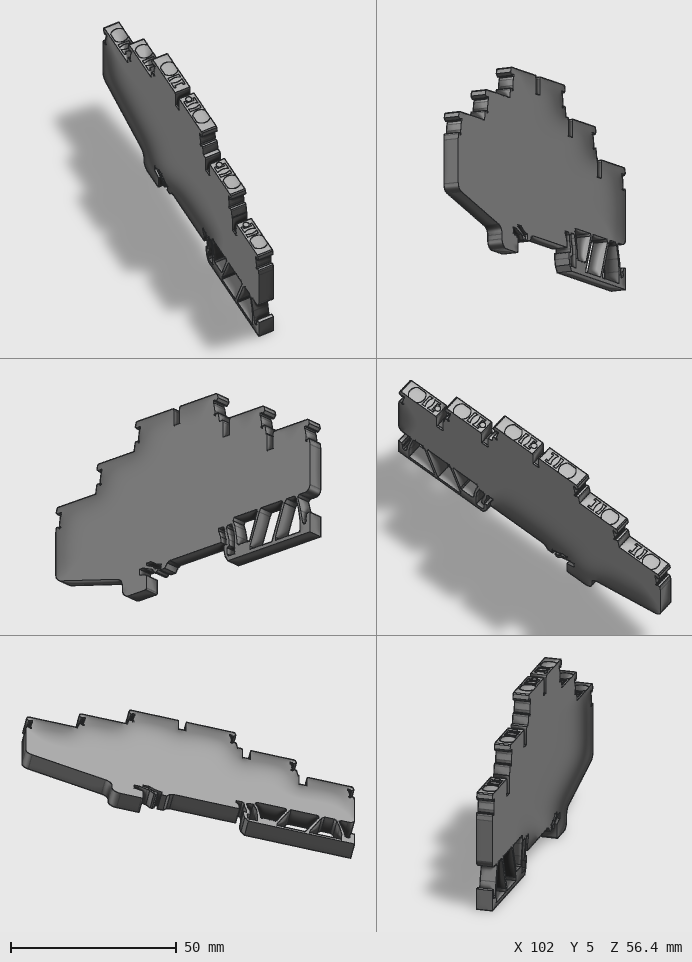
import cadquery as cq

LENGTH = 102
THICKNESS = 5.0
HEIGHT = 56.4

LOW_TIER_TOP = 37.3
TIER_STEP = (HEIGHT - LOW_TIER_TOP) / 2
TIER_TOPS = [LOW_TIER_TOP + tier * TIER_STEP for tier in range(3)]
LEFT_CORNERS = [0.5, 16.8, 32.2]
RIGHT_CORNERS = [101.5, 83.6, 64.9]

SNAP_EDGE = [
    (0.4, 0), (0, 0.3), (-0.3, 1.6), (0.4, 2.4), (0.8, 2.5), (0.9, 2), (1.6, 2), (1.6, 2.7),
    (1.3, 3.5), (1, 5.5), (1, 6.4), (1.3, 6.8), (0.9, 7.1), (0.5, 6.5), (-0.2, 6.5), (-0.4, 7.0),
]
RISER_FOOT_OFFSET = 0.8
LOW_END_DROP = 8.5

SLOT_DEPTH = 5.6
FLARE_WIDTH = 0.2
FLARE_HEIGHT = 0.7
BRIDGE_SLOTS = [(84.8, 2.4, "right"), (67.2, 2.4, "both"), (47.4, 2.2, "both")]
SLOT_FLOOR_WIDTH = 3.9

BELLY_Z = 6.8
FOOT_CEILING_Z = 13.6
LEFT_CORNER_Z = 13.4
HOOK_LEFT_X = 26.7
HOOK_RIGHT_X = 36.4
HOOK_TOP_Z = 6.2
HOOK_MOUTH_X = 33.7
FOOT_LEFT_X = 69.1
FOOT_POST_Z = 6.5
FOOT_FLOOR_Z = 1.2
LEFT_CORNER_RADIUS = 2.7
RIGHT_CORNER_RADIUS = 2
HOOK_HEEL_RADIUS = 2.7
HOOK_NECK_RADIUS = 2.8
HOOK_TOE_RADIUS = 0.5

MARK_DEPTH = 0.1
SCREW_RADIUS = 2.7
SCREW_Y = 0.3
SCREW_FRONT_Y = -1.9
SCREW_INSETS = [4.9, 4.6, 5.8]
WINDOW_GAP = 3.2
WINDOW_LENGTH = 4.3
WINDOW_WIDTH = 3.7
CLAMP_OFFSET = 1.6
CLAMP_HALF_WAIST = 0.9
CLAMP_HALF_END = 0.4
NOTCH_LENGTH = 0.8
NOTCH_WIDTH = 2.4
PIN_RADIUS = 0.9
PIN_OFFSET = 0.3


def plate(points):
    """Extrude an XZ polygon through the full thickness."""
    return cq.Workplane("XZ").polyline(points).close().extrude(THICKNESS / 2, both=True)


def round_corner(body, x, z, radius):
    """Round the through-thickness edge nearest to (x, z)."""
    corner = cq.selectors.NearestToPointSelector((x, 0, z))
    return body.edges("|Y").edges(corner).fillet(radius)


def snap_edge(tier, corner_x, inward):
    """Points down one tier end; inward is +1 at left ends and -1 at right ends."""
    top = TIER_TOPS[tier]
    points = [(corner_x + inward * dx, top - drop) for dx, drop in SNAP_EDGE]
    if tier > 0:
        points.append((corner_x - inward * RISER_FOOT_OFFSET, top - TIER_STEP))
    return points


def left_steps():
    """Left staircase, from the left end face up to the top tier."""
    points = [(0, LOW_TIER_TOP - LOW_END_DROP)]
    for tier in range(3):
        points += reversed(snap_edge(tier, LEFT_CORNERS[tier], 1))
    return points


def right_steps():
    """Right staircase, from the top tier down to the right end face."""
    points = []
    for tier in reversed(range(3)):
        points += snap_edge(tier, RIGHT_CORNERS[tier], -1)
    points.append((LENGTH, LOW_TIER_TOP - LOW_END_DROP))
    return points


def spring_foot_outline():
    """Points from the right end of the body around the spring foot to the belly."""
    ceiling = [(LENGTH, FOOT_CEILING_Z), (97.8, FOOT_CEILING_Z)]
    right_leaf = [(97.1, 12.9), (98.3, 8.1), (98.8, 5.3), (99.0, 4.0)]
    post_groove = [(99.5, 3.4), (100.1, 3.4), (100.6, 4.0), (100.5, 5.3), (100.8, FOOT_POST_Z)]
    base = [(LENGTH, FOOT_POST_Z), (LENGTH, 0), (FOOT_LEFT_X, 0)]
    latch_nose = [(67.9, 1.8), (67.5, 3.8), (67.5, 5.6), (68.4, 5.6), (68.4, 6.8)]
    left_leaf = [(67.8, 9.2), (67.7, 10.9), (67.1, 11.7), (65.3, 11.7), (65.3, 11.0), (66.2, 8.8)]
    return ceiling + right_leaf + post_groove + base + latch_nose + left_leaf + [(66.3, BELLY_Z)]


def rail_hook_outline():
    """Points from the belly past the small spring tongue and around the fixed hook."""
    stop = [(45.8, BELLY_Z), (44.8, 6.3), (43.8, 4.9), (41.9, 4.9), (42.2, 5.9), (42.2, 6.7)]
    tongue_top = [(41.5, 6.8), (39.8, 7.5), (38.2, 8.7), (36.4, 8.7), (36.4, 8.1), (39.1, 6.7), (39.8, 5.9)]
    tongue_tip = [(41.0, 5.9), (41.0, 5.2), (40.4, 4.6), (39.8, 4.6)]
    tongue_bottom = [(38.5, 6.1), (37.6, 6.4), (35.1, 7.4), (HOOK_MOUTH_X, 7.4)]
    hook = [
        (HOOK_MOUTH_X, 5.6), (35.2, 5.1), (HOOK_RIGHT_X, 4.7), (HOOK_RIGHT_X, 0),
        (HOOK_LEFT_X, 0), (HOOK_LEFT_X, HOOK_TOP_Z),
    ]
    return stop + tongue_top + tongue_tip + tongue_bottom + hook


def housing():
    outline = left_steps() + right_steps() + spring_foot_outline() + rail_hook_outline()
    body = plate(outline + [(0, LEFT_CORNER_Z)])
    body = round_corner(body, LENGTH, FOOT_CEILING_Z, RIGHT_CORNER_RADIUS)
    body = round_corner(body, HOOK_RIGHT_X, 0, HOOK_TOE_RADIUS)
    body = round_corner(body, HOOK_LEFT_X, 0, HOOK_HEEL_RADIUS)
    body = round_corner(body, HOOK_LEFT_X, HOOK_TOP_Z, HOOK_NECK_RADIUS)
    return round_corner(body, 0, LEFT_CORNER_Z, LEFT_CORNER_RADIUS)


def foot_windows():
    """Four through windows that leave the spring leaves and slanted ribs of the foot."""
    latch = [
        (68.5, 11.1), (69.1, 11.7), (70.6, 11.7), (71.0, 10.5), (71.6, 8.4), (71.8, 5.7), (71.8, 1.5),
        (69.3, 1.5), (68.8, 2.2), (68.7, 4.4), (69.7, 4.9), (69.6, 6.8), (68.8, 9.2),
    ]
    left = [
        (71.2, 12.5), (71.6, FOOT_CEILING_Z), (80.6, FOOT_CEILING_Z), (80.9, 12.9), (77.9, 4.5), (77.5, 4.1),
        (73.2, 4.1), (72.8, 4.6), (72.5, 7.2), (71.8, 10.9),
    ]
    middle = [
        (82.3, FOOT_CEILING_Z), (90.5, FOOT_CEILING_Z), (91.0, 12.9), (86.7, FOOT_FLOOR_Z),
        (77.9, FOOT_FLOOR_Z), (77.9, 2.2), (81.7, 12.4),
    ]
    right = [
        (92.7, FOOT_CEILING_Z), (95.7, FOOT_CEILING_Z), (96.5, 12.6), (97.4, 8.8), (98.0, 4.9),
        (97.9, FOOT_FLOOR_Z), (88.1, FOOT_FLOOR_Z), (88.1, 2.2), (91.8, 12.4),
    ]
    return [plate(points) for points in (latch, left, middle, right)]


def bridge_slot(tier):
    """Flared slot with a shallow recess along the middle of its floor."""
    left, width, flared_sides = BRIDGE_SLOTS[tier]
    right = left + width
    top = TIER_TOPS[tier]
    floor = top - SLOT_DEPTH
    left_flare = FLARE_WIDTH if flared_sides == "both" else 0
    slot = plate([
        (left - left_flare, top), (left, top - FLARE_HEIGHT), (left, floor),
        (right, floor), (right, top - FLARE_HEIGHT), (right + FLARE_WIDTH, top),
    ])
    recess = mark_box(left, right, SLOT_FLOOR_WIDTH, floor)
    return slot.union(recess)


def mark_box(x_start, x_end, width, top):
    """Shallow box centred in Y and reaching down from the given top."""
    middle = (x_start + x_end) / 2
    box = cq.Workplane("XY", origin=(middle, 0, top)).rect(abs(x_end - x_start), width)
    return box.extrude(-MARK_DEPTH)


def mark_disc(x, y, radius, top):
    return cq.Workplane("XY", origin=(x, y, top)).circle(radius).extrude(-MARK_DEPTH)


def screw_mark(x, top):
    """Circle cut off flat in front and running out at the back face."""
    front_strip = mark_box(x - SCREW_RADIUS, x + SCREW_RADIUS, -2 * SCREW_FRONT_Y, top)
    back_strip = front_strip.translate((0, THICKNESS / 2 + SCREW_FRONT_Y, 0))
    return mark_disc(x, SCREW_Y, SCREW_RADIUS, top).intersect(front_strip.union(back_strip))


def wire_window(near_end, direction, top):
    """Window recess with a raised barrel-shaped clamp and a raised notch at its far end."""
    far_end = near_end + direction * WINDOW_LENGTH
    clamp_x = near_end + direction * CLAMP_OFFSET
    half_width = WINDOW_WIDTH / 2
    clamp = (
        cq.Workplane("XY", origin=(clamp_x, 0, top))
        .moveTo(-CLAMP_HALF_END, -half_width)
        .lineTo(CLAMP_HALF_END, -half_width)
        .threePointArc((CLAMP_HALF_WAIST, 0), (CLAMP_HALF_END, half_width))
        .lineTo(-CLAMP_HALF_END, half_width)
        .threePointArc((-CLAMP_HALF_WAIST, 0), (-CLAMP_HALF_END, -half_width))
        .close()
        .extrude(-MARK_DEPTH)
    )
    notch = mark_box(far_end - direction * NOTCH_LENGTH, far_end, NOTCH_WIDTH, top)
    return mark_box(near_end, far_end, WINDOW_WIDTH, top).cut(clamp).cut(notch)


def terminal_marks(tier, corner_x, inward):
    """Screw, wire window and, on the right-hand terminals only, a round pin."""
    top = TIER_TOPS[tier]
    screw_x = corner_x + inward * SCREW_INSETS[tier]
    window_x = screw_x + inward * WINDOW_GAP
    marks = [screw_mark(screw_x, top), wire_window(window_x, inward, top)]
    if inward < 0:
        marks.append(mark_disc(window_x + inward * (WINDOW_LENGTH + PIN_OFFSET), 0, PIN_RADIUS, top))
    return marks


cutters = foot_windows()
for tier in range(3):
    cutters.append(bridge_slot(tier))
    cutters += terminal_marks(tier, LEFT_CORNERS[tier], 1)
    cutters += terminal_marks(tier, RIGHT_CORNERS[tier], -1)

result = housing()
for cutter in cutters:
    result = result.cut(cutter)